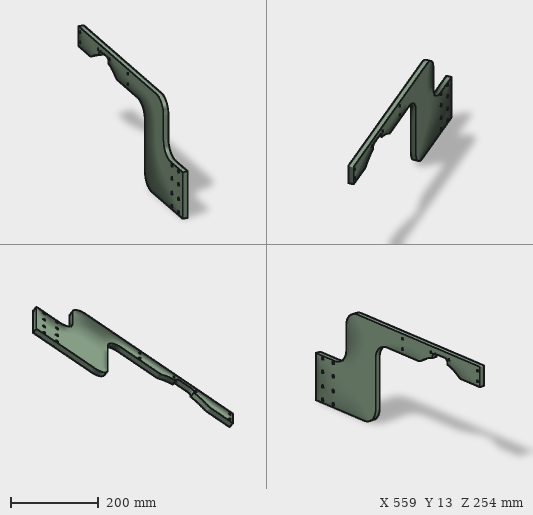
import cadquery as cq
import math

length = 559.0
height = 254.0
thickness = 13.0

arm_depth = 50.5
column_left = 355.5
column_right = 456.0
tab_height = 116.0
bend_radius = 38.5
end_corner_radius = 2.0
arm_bottom = height - arm_depth

relief_x = 136.5
relief_radius = 106.0
relief_half_width = 68.0
relief_lip_radius = 17.0
slot_width = 50.5
slot_top = height - 15.0
slot_corner_radius = 8.5

arm_hole_diameter = 4.5
arm_hole_spacing_x = 256.0
arm_hole_spacing_z = 25.5
slot_hole_diameter = 4.25
slot_hole_spacing = 61.5
slot_hole_z = height - 15.5
tab_hole_diameter = 6.5
tab_hole_columns = (500.0, 536.5)
tab_hole_center_z = 58.5
tab_hole_inner_offset = 18.15
tab_hole_outer_offset = 51.0


def extrude_plate(sketch):
    """Extrude a profile in the XZ plane through the plate thickness."""
    return sketch.extrude(-thickness)


def plate_blank():
    outline = [
        (0, height),
        (column_right, height),
        (column_right, tab_height),
        (length, tab_height),
        (length, 0),
        (column_left, 0),
        (column_left, arm_bottom),
        (0, arm_bottom),
    ]
    blank = extrude_plate(cq.Workplane("XZ").polyline(outline).close())
    bends = [outline[1], outline[2], outline[5], outline[6]]
    for x, z in bends:
        blank = blank.edges(edge_at(x, z)).fillet(bend_radius)
    return blank.edges(edge_at(0, height)).fillet(end_corner_radius)


def edge_at(x, z):
    """Select the edge that crosses the plate at the given corner."""
    return cq.selectors.NearestToPointSelector((x, thickness / 2, z))


def cut_relief(plate):
    center_z = arm_bottom - math.sqrt(relief_radius**2 - relief_half_width**2)
    arc = extrude_plate(cq.Workplane("XZ").center(relief_x, center_z).circle(relief_radius))
    arm_zone = cq.Workplane("XY").box(
        2 * relief_x, thickness, arm_depth, centered=(False, False, False)
    ).translate((0, 0, arm_bottom))
    plate = plate.cut(arc.intersect(arm_zone))
    for side in (-1, 1):
        lip = edge_at(relief_x + side * relief_half_width, arm_bottom)
        plate = plate.edges(lip).fillet(relief_lip_radius)

    slot_height = slot_top - center_z
    slot = extrude_plate(
        cq.Workplane("XZ").center(relief_x, slot_top - slot_height / 2).rect(slot_width, slot_height)
    )
    slot = slot.edges("|Y and >Z").fillet(slot_corner_radius)
    return plate.cut(slot)


def drill(plate, centers, diameter):
    return plate.cut(extrude_plate(cq.Workplane("XZ").pushPoints(centers).circle(diameter / 2)))


arm_hole_centers = [
    (relief_x + i * arm_hole_spacing_x / 2, arm_bottom + arm_depth / 2 + k * arm_hole_spacing_z / 2)
    for i in (-1, 1)
    for k in (-1, 1)
]
slot_hole_centers = [(relief_x + i * slot_hole_spacing / 2, slot_hole_z) for i in (-1, 1)]
tab_hole_centers = [
    (x, tab_hole_center_z + side * offset)
    for x in tab_hole_columns
    for side in (-1, 1)
    for offset in (tab_hole_inner_offset, tab_hole_outer_offset)
]

result = cut_relief(plate_blank())
result = drill(result, arm_hole_centers, arm_hole_diameter)
result = drill(result, slot_hole_centers, slot_hole_diameter)
result = drill(result, tab_hole_centers, tab_hole_diameter)